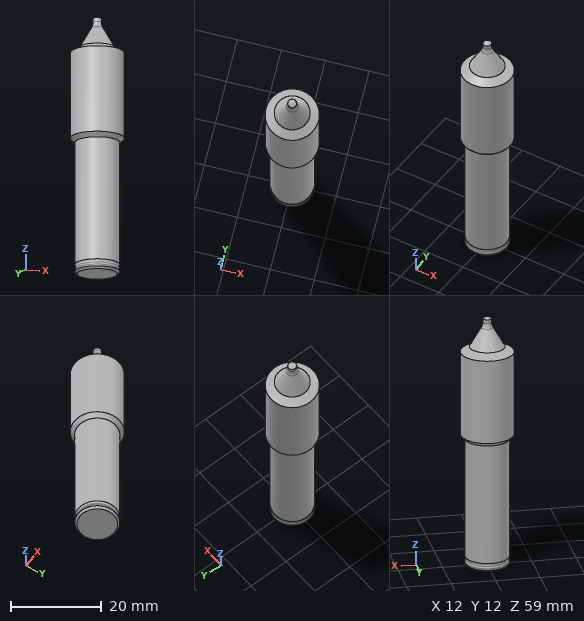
import cadquery as cq
import math

total_length = 59.0
body_radius = 6.0
shank_radius = 5.0
tip_radius = 1.0

base_chamfer = 0.5
land_top_z = 0.9
flank_top_z = 1.4
groove_top_z = 2.1
groove_taper = math.radians(15)

shoulder_z = 30.05
shoulder_top_z = shoulder_z + body_radius - shank_radius

point_slope = math.radians(30)
nose_angle = math.radians(30)
collar_slope = math.radians(30)
tip_length = 0.9
tip_fillet = 2.5
nose_base_radius = 3.95

tip_top_z = total_length - tip_radius * math.tan(point_slope)
tip_base_z = tip_top_z - tip_length


def fillet_point(angle):
    """Point on the concave tip fillet, turned by angle from the tip cylinder."""
    radius = tip_radius + tip_fillet * (1 - math.cos(angle))
    return radius, tip_base_z - tip_fillet * math.sin(angle)


fillet_end = fillet_point(nose_angle)
nose_base_z = fillet_end[1] - (nose_base_radius - fillet_end[0]) / math.tan(nose_angle)
body_top_z = nose_base_z - (body_radius - nose_base_radius) * math.tan(collar_slope)

flank_depth = (flank_top_z - land_top_z) * math.tan(groove_taper)
flank_top_radius = shank_radius - flank_depth
groove_arc_height = groove_top_z - flank_top_z
groove_end_angle = groove_taper + 2 * math.atan(flank_depth / groove_arc_height)
groove_arc_radius = groove_arc_height / (math.sin(groove_taper) + math.sin(groove_end_angle))
groove_bottom = (
    flank_top_radius - groove_arc_radius * (1 - math.cos(groove_taper)),
    flank_top_z + groove_arc_radius * math.sin(groove_taper),
)

profile = (
    cq.Workplane("XZ")
    .lineTo(shank_radius - base_chamfer, 0)
    .lineTo(shank_radius, base_chamfer)
    .lineTo(shank_radius, land_top_z)
    .lineTo(flank_top_radius, flank_top_z)
    .threePointArc(groove_bottom, (shank_radius, groove_top_z))
    .lineTo(shank_radius, shoulder_z)
    .lineTo(body_radius, shoulder_top_z)
    .lineTo(body_radius, body_top_z)
    .lineTo(nose_base_radius, nose_base_z)
    .lineTo(*fillet_end)
    .threePointArc(fillet_point(nose_angle / 2), (tip_radius, tip_base_z))
    .lineTo(tip_radius, tip_top_z)
    .lineTo(0, total_length)
    .close()
)
result = profile.revolve(360, (0, 0, 0), (0, 1, 0))